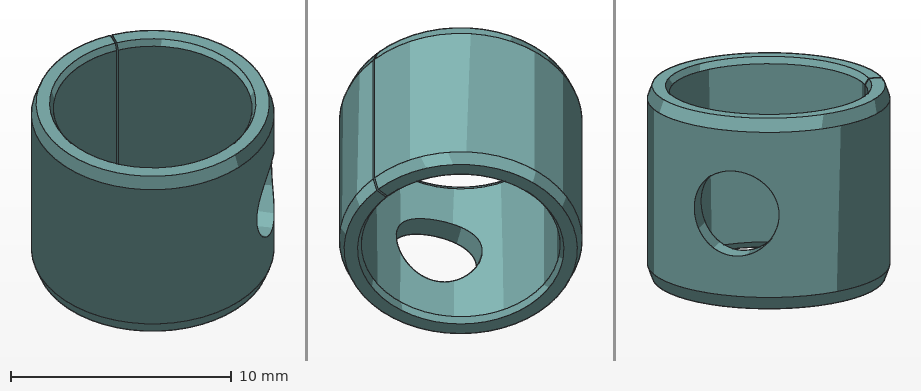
import cadquery as cq
import math

outer_diameter = 11.0
inner_diameter = 9.0
height = 9.0
outer_radius = outer_diameter / 2
inner_radius = inner_diameter / 2
half_height = height / 2

outer_chamfer_height = 0.6
outer_chamfer_angle = 20.0
outer_chamfer_width = outer_chamfer_height * math.tan(math.radians(outer_chamfer_angle))
inner_chamfer_height = 0.3
inner_chamfer_angle = 30.0
inner_chamfer_width = inner_chamfer_height * math.tan(math.radians(inner_chamfer_angle))

split_angle = 1.0

hole_diameter = 4.0
hole_angle = 59.0


def split_ring():
    """Turn the chamfered wall section about Z, starting at -X and leaving the split open."""
    section = [
        (-inner_radius, inner_chamfer_height - half_height),
        (-inner_radius - inner_chamfer_width, -half_height),
        (-outer_radius + outer_chamfer_width, -half_height),
        (-outer_radius, outer_chamfer_height - half_height),
        (-outer_radius, half_height - outer_chamfer_height),
        (-outer_radius + outer_chamfer_width, half_height),
        (-inner_radius - inner_chamfer_width, half_height),
        (-inner_radius, half_height - inner_chamfer_height),
    ]
    profile = cq.Workplane("XZ").polyline(section).close()
    return profile.revolve(360 - split_angle, (0, 0), (0, 1))


def radial_hole():
    """Cutter from the axis out through the wall at the hole angle."""
    cutter = cq.Workplane("YZ").circle(hole_diameter / 2).extrude(outer_diameter)
    return cutter.rotate((0, 0, 0), (0, 0, 1), hole_angle)


result = split_ring().cut(radial_hole())